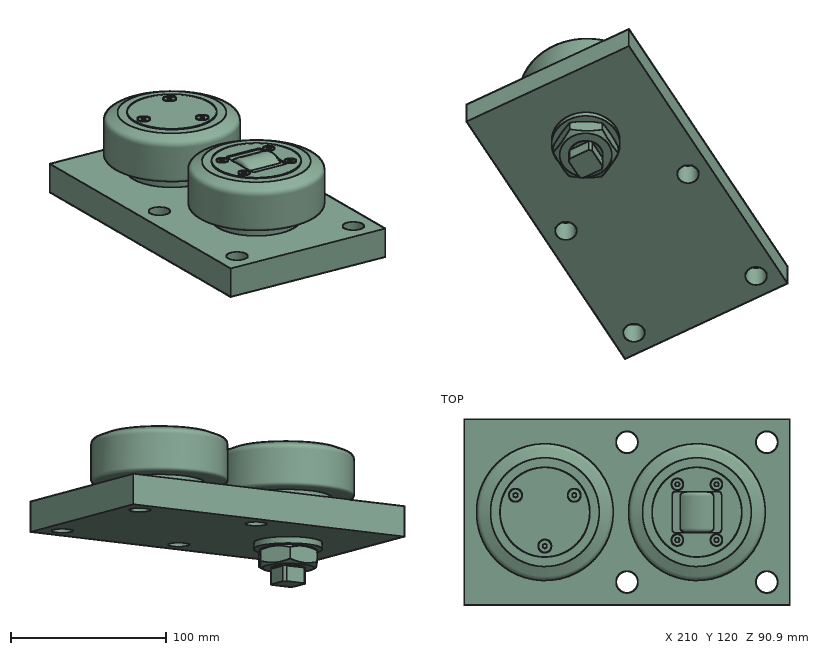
import cadquery as cq
import math

PLATE_LENGTH = 210.0
PLATE_WIDTH = 120.0
PLATE_THICKNESS = 20.0
PLATE_BOTTOM_Z = -PLATE_THICKNESS
BOLT_HOLE_DIAMETER = 13.9
BOLT_PITCH_X = 90.0
BOLT_PITCH_Y = 90.0

LEFT_ROLLER_X = -53.0
RIGHT_ROLLER_X = BOLT_PITCH_X / 2
ROLLER_RADIUS = 44.0
ROLLER_BOTTOM_Z = 9.5
ROLLER_TOP_Z = 40.1
BOTTOM_FILLET = 2.0
TOP_FLAT_RADIUS = 35.0
CONE_OUTER_RADIUS = 41.5
CONE_DROP = 2.5
LEFT_NECK_DIAMETER = 59.0
RIGHT_NECK_DIAMETER = 58.0
CAP_DIAMETER = 57.8
CAP_RISE = 0.6
CAP_BORE_DIAMETER = 58.0
CAP_BORE_DEPTH = 1.0
CAP_TOP_Z = ROLLER_TOP_Z + CAP_RISE

LEFT_SCREW_DIAMETER = 8.6
LEFT_SOCKET_TURN = 0
LEFT_SCREW_COUNT = 3
LEFT_FIRST_SCREW_ANGLE = -90
LEFT_SCREW_CIRCLE_RADIUS = 21.8
RIGHT_SCREW_DIAMETER = 7.8
RIGHT_SOCKET_TURN = 90
RIGHT_SCREW_PITCH_X = 25.2
RIGHT_SCREW_PITCH_Y = 36.0
SCREW_GAP = 0.2
SCREW_GAP_DEPTH = 0.5
SOCKET_ACROSS_FLATS = 2.7
SOCKET_DEPTH = 0.5

WINDOW_LENGTH = 31.7
WINDOW_WIDTH = 26.5
WINDOW_DEPTH = 0.8
WINDOW_CORNER_RADIUS = 1.9
WHEEL_RADIUS = 16.4
WHEEL_WIDTH = 26.0
WHEEL_FILLET = 2.5
WHEEL_RISE = 3.2

FASTENER_OFFSET_X = -1.7
FASTENER_X = LEFT_ROLLER_X + FASTENER_OFFSET_X
WASHER_DIAMETER = 44.0
WASHER_THICKNESS = 4.2
NUT_ACROSS_CORNERS = 42.0
NUT_HEIGHT = 12.4
NUT_FACE_RADIUS = 16.8
NUT_CHAMFER_ANGLE = 30.0
ROD_DIAMETER = 22.0
ROD_SQUARE = 17.2
ROD_LENGTH = 27.0
ROD_ROUND_STEP = 0.5


def cylinder(x, y, bottom_z, diameter, height):
    """Upright cylinder standing at (x, y, bottom_z)."""
    return cq.Workplane("XY", origin=(x, y, bottom_z)).circle(diameter / 2).extrude(height)


def make_plate():
    plate = cq.Workplane("XY", origin=(0, 0, PLATE_BOTTOM_Z))
    plate = plate.rect(PLATE_LENGTH, PLATE_WIDTH).extrude(PLATE_THICKNESS)
    for x in (0, BOLT_PITCH_X):
        for y in (-BOLT_PITCH_Y / 2, BOLT_PITCH_Y / 2):
            plate = plate.cut(cylinder(x, y, PLATE_BOTTOM_Z, BOLT_HOLE_DIAMETER, PLATE_THICKNESS))
    return plate


def make_roller(x, neck_diameter):
    """Neck, tyre with a coned and rounded upper edge, and raised cap in a bore."""
    cone_outer_z = ROLLER_TOP_Z - CONE_DROP
    cone_direction = (TOP_FLAT_RADIUS - CONE_OUTER_RADIUS, CONE_DROP)
    cone_slope = math.atan2(CONE_DROP, CONE_OUTER_RADIUS - TOP_FLAT_RADIUS)
    half_turn = (math.pi / 2 - cone_slope) / 2
    shoulder_z = cone_outer_z - (ROLLER_RADIUS - CONE_OUTER_RADIUS) / math.tan(half_turn)
    bottom_flat_radius = ROLLER_RADIUS - BOTTOM_FILLET
    tyre = (
        cq.Workplane("XZ", origin=(x, 0, 0))
        .moveTo(0, ROLLER_BOTTOM_Z)
        .lineTo(bottom_flat_radius, ROLLER_BOTTOM_Z)
        .tangentArcPoint((ROLLER_RADIUS, ROLLER_BOTTOM_Z + BOTTOM_FILLET), relative=False)
        .lineTo(ROLLER_RADIUS, shoulder_z)
        .tangentArcPoint((CONE_OUTER_RADIUS, cone_outer_z), relative=False)
        .line(*cone_direction)
        .lineTo(0, ROLLER_TOP_Z)
        .close()
        .revolve(360, (0, 0, 0), (0, 1, 0))
    )
    neck = cylinder(x, 0, 0, neck_diameter, ROLLER_BOTTOM_Z)
    bore_floor_z = ROLLER_TOP_Z - CAP_BORE_DEPTH
    bore = cylinder(x, 0, bore_floor_z, CAP_BORE_DIAMETER, CAP_BORE_DEPTH)
    cap = cylinder(x, 0, bore_floor_z, CAP_DIAMETER, CAP_TOP_Z - bore_floor_z)
    return neck.union(tyre).cut(bore).union(cap)


def cut_screw(body, x, y, diameter, socket_turn):
    """Ring gap around a flush screw head, with a hex socket turned by socket_turn degrees."""
    gap_floor_z = CAP_TOP_Z - SCREW_GAP_DEPTH
    seat = cylinder(x, y, gap_floor_z, diameter, SCREW_GAP_DEPTH)
    head = cylinder(x, y, gap_floor_z, diameter - 2 * SCREW_GAP, SCREW_GAP_DEPTH)
    socket = (
        cq.Workplane("XY", origin=(x, y, CAP_TOP_Z - SOCKET_DEPTH))
        .transformed(rotate=(0, 0, socket_turn))
        .polygon(6, SOCKET_ACROSS_FLATS, circumscribed=True)
        .extrude(SOCKET_DEPTH)
    )
    return body.cut(seat.cut(head)).cut(socket)


def make_left_roller():
    roller = make_roller(LEFT_ROLLER_X, LEFT_NECK_DIAMETER)
    for index in range(LEFT_SCREW_COUNT):
        angle = math.radians(LEFT_FIRST_SCREW_ANGLE + index * 360 / LEFT_SCREW_COUNT)
        x = LEFT_ROLLER_X + LEFT_SCREW_CIRCLE_RADIUS * math.cos(angle)
        y = LEFT_SCREW_CIRCLE_RADIUS * math.sin(angle)
        roller = cut_screw(roller, x, y, LEFT_SCREW_DIAMETER, LEFT_SOCKET_TURN)
    return roller


def make_right_roller():
    roller = make_roller(RIGHT_ROLLER_X, RIGHT_NECK_DIAMETER)
    window = (
        cq.Workplane("XY", origin=(RIGHT_ROLLER_X, 0, CAP_TOP_Z - WINDOW_DEPTH))
        .rect(WINDOW_LENGTH, WINDOW_WIDTH)
        .extrude(WINDOW_DEPTH)
        .edges("|Z")
        .fillet(WINDOW_CORNER_RADIUS)
    )
    wheel_axis_z = CAP_TOP_Z + WHEEL_RISE - WHEEL_RADIUS
    wheel = (
        cq.Workplane("XZ", origin=(RIGHT_ROLLER_X, WHEEL_WIDTH / 2, wheel_axis_z))
        .circle(WHEEL_RADIUS)
        .extrude(WHEEL_WIDTH)
        .edges("%CIRCLE")
        .fillet(WHEEL_FILLET)
    )
    roller = roller.cut(window).union(wheel)
    for x_side in (-1, 1):
        for y_side in (-1, 1):
            x = RIGHT_ROLLER_X + x_side * RIGHT_SCREW_PITCH_X / 2
            y = y_side * RIGHT_SCREW_PITCH_Y / 2
            roller = cut_screw(roller, x, y, RIGHT_SCREW_DIAMETER, RIGHT_SOCKET_TURN)
    return roller


def make_nut(top_z):
    """Hex nut with both ends trimmed by cones; two corners lie along X."""
    corner_radius = NUT_ACROSS_CORNERS / 2
    chamfer_height = (corner_radius - NUT_FACE_RADIUS) * math.tan(math.radians(NUT_CHAMFER_ANGLE))
    prism = (
        cq.Workplane("XY", origin=(FASTENER_X, 0, top_z - NUT_HEIGHT))
        .polygon(6, NUT_ACROSS_CORNERS)
        .extrude(NUT_HEIGHT)
    )
    envelope = (
        cq.Workplane("XZ", origin=(FASTENER_X, 0, top_z))
        .polyline([
            (0, 0),
            (NUT_FACE_RADIUS, 0),
            (corner_radius, -chamfer_height),
            (corner_radius, chamfer_height - NUT_HEIGHT),
            (NUT_FACE_RADIUS, -NUT_HEIGHT),
            (0, -NUT_HEIGHT),
        ])
        .close()
        .revolve(360, (0, 0, 0), (0, 1, 0))
    )
    return prism.intersect(envelope)


def make_fastener():
    washer_bottom_z = PLATE_BOTTOM_Z - WASHER_THICKNESS
    nut_bottom_z = washer_bottom_z - NUT_HEIGHT
    rod_bottom_z = PLATE_BOTTOM_Z - ROD_LENGTH
    square_top_z = nut_bottom_z - ROD_ROUND_STEP
    washer = cylinder(FASTENER_X, 0, washer_bottom_z, WASHER_DIAMETER, WASHER_THICKNESS)
    nut = make_nut(washer_bottom_z)
    round_step = cylinder(FASTENER_X, 0, square_top_z, ROD_DIAMETER, ROD_ROUND_STEP)
    rod_end = cylinder(FASTENER_X, 0, rod_bottom_z, ROD_DIAMETER, square_top_z - rod_bottom_z)
    square = (
        cq.Workplane("XY", origin=(FASTENER_X, 0, rod_bottom_z))
        .rect(ROD_SQUARE, ROD_SQUARE)
        .extrude(square_top_z - rod_bottom_z)
    )
    return washer.union(nut).union(round_step).union(rod_end.intersect(square))


result = make_plate().union(make_left_roller()).union(make_right_roller()).union(make_fastener())